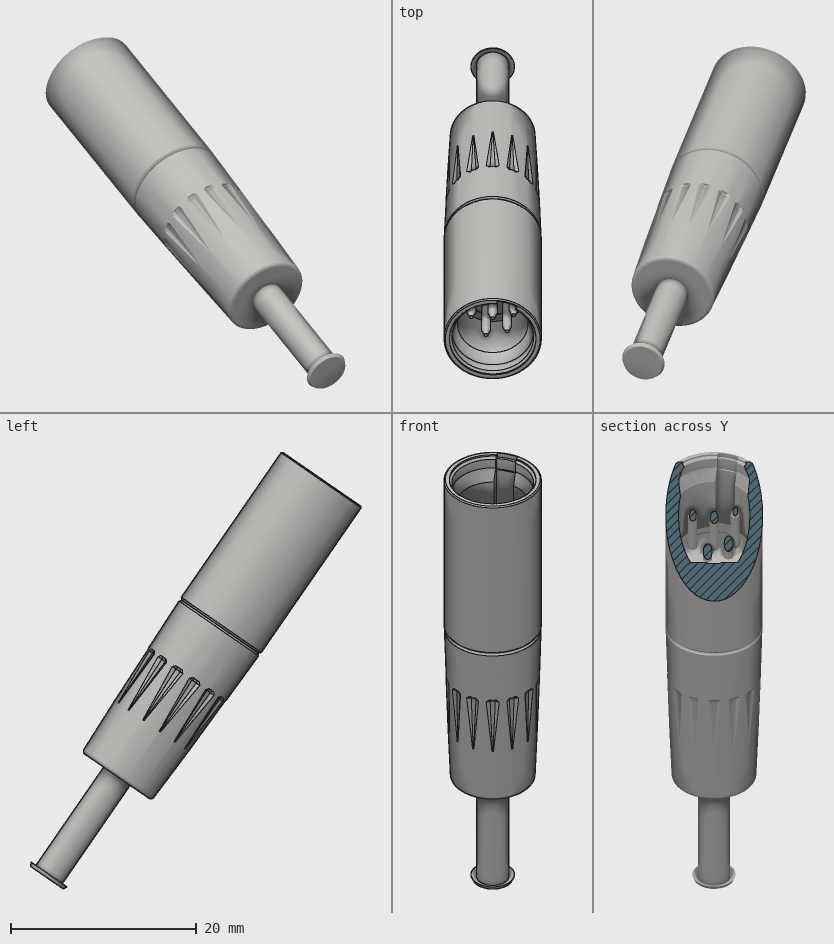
import cadquery as cq
import math

TILT_ANGLE = 34.6
TOTAL_LENGTH = 52.08
KEY_ANGLE = 71
CUT_MARGIN = 0.45

CABLE_RADIUS = 3.5 / 2
FLARE_BOTTOM_RADIUS = 2.15
FLARE_RIM_RADIUS = 2.35
FLARE_HEIGHT = 0.4
FLARE_DISH_DEPTH = 0.25

HANDLE_BOTTOM = 13.25
HANDLE_TOP = 32.8
HANDLE_BOTTOM_RADIUS = 4.55
HANDLE_MIDDLE_RADIUS = 4.95
HANDLE_TOP_RADIUS = 5.2
HANDLE_END_FILLET = 0.38

SHELL_RADIUS = 10.5 / 2
SHELL_EDGE_CHAMFER = 0.15
SEAM_CHAMFER = 0.25

MOUTH_RADIUS = 4.65
MOUTH_DEPTH = 0.2
ENTRY_RADIUS = 8.8 / 2
ENTRY_DEPTH = 0.4
CONE_START_DEPTH = 1.55
CONE_END_DEPTH = 3.0
BORE_RADIUS = 7.6 / 2
FLOOR_DEPTH = 8.9
FLOOR_RECESS_RADIUS = 2.95
FLOOR_RECESS_DEPTH = 0.1

KEYWAY_WIDTH = 2.25
KEYWAY_FLAT_DISTANCE = 4.5
KEYWAY_RELIEF_RADIUS = 4.7
KEYWAY_RELIEF_DEPTH = 1.9
KEYWAY_LEAD_RADIUS = 5.0
KEYWAY_LEAD_DEPTH = 0.5

PIN_RADIUS = 1.0 / 2
PIN_SHOULDER_DEPTH = 5.05
PIN_TIP_DEPTH = 4.0
PIN_TIP_RADIUS = 0.2
PIN_CIRCLE_RADIUS = 2.3
PIN_ANGLES = (10, -48, -108, 176)

FLUTE_COUNT = 14
FLUTE_START_ANGLE = 90
FLUTE_BOTTOM = 19.85
FLUTE_TOP = 26.65
FLUTE_WIDTH = 1.55
FLUTE_FLOOR_WIDTH = 0.55
FLUTE_DEPTH = 0.35
FLUTE_END_LENGTH = 0.3
FLUTE_END_SCALE = 0.6
FLUTE_POINT_SCALE = 0.1


def revolved(profile):
    """Turn a closed sketch on the XZ plane about the Z axis."""
    return profile.close().revolve(360, (0, 0, 0), (0, 1, 0))


def make_cable():
    """Cable and its dished flare, reaching into the handle."""
    return revolved(
        cq.Workplane("XZ")
        .lineTo(FLARE_BOTTOM_RADIUS, 0)
        .lineTo(FLARE_RIM_RADIUS, FLARE_HEIGHT)
        .lineTo(CABLE_RADIUS, FLARE_HEIGHT - FLARE_DISH_DEPTH)
        .lineTo(CABLE_RADIUS, HANDLE_BOTTOM + CUT_MARGIN)
        .lineTo(0, HANDLE_BOTTOM + CUT_MARGIN)
    )


def make_handle():
    """Slightly bulged, tapering grip."""
    handle = revolved(
        cq.Workplane("XZ")
        .moveTo(0, HANDLE_BOTTOM)
        .lineTo(HANDLE_BOTTOM_RADIUS, HANDLE_BOTTOM)
        .threePointArc(
            (HANDLE_MIDDLE_RADIUS, (HANDLE_BOTTOM + HANDLE_TOP) / 2),
            (HANDLE_TOP_RADIUS, HANDLE_TOP),
        )
        .lineTo(0, HANDLE_TOP)
    )
    handle = handle.faces("<Z").edges().fillet(HANDLE_END_FILLET)
    return handle.faces(">Z").edges().chamfer(SEAM_CHAMFER)


def make_shell():
    """Plain tube around the contacts, still solid."""
    shell = cq.Workplane("XY", origin=(0, 0, HANDLE_TOP)).circle(SHELL_RADIUS)
    shell = shell.extrude(TOTAL_LENGTH - HANDLE_TOP)
    shell = shell.faces("<Z").edges().chamfer(SEAM_CHAMFER)
    return shell.faces(">Z").edges().chamfer(SHELL_EDGE_CHAMFER)


def make_bore():
    """Stepped cavity with a cone leading down to the contact chamber."""
    rim = TOTAL_LENGTH
    return revolved(
        cq.Workplane("XZ")
        .moveTo(0, rim + CUT_MARGIN)
        .lineTo(MOUTH_RADIUS, rim + CUT_MARGIN)
        .lineTo(MOUTH_RADIUS, rim - MOUTH_DEPTH)
        .lineTo(ENTRY_RADIUS, rim - ENTRY_DEPTH)
        .lineTo(ENTRY_RADIUS, rim - CONE_START_DEPTH)
        .lineTo(BORE_RADIUS, rim - CONE_END_DEPTH)
        .lineTo(BORE_RADIUS, rim - FLOOR_DEPTH)
        .lineTo(FLOOR_RECESS_RADIUS, rim - FLOOR_DEPTH)
        .lineTo(FLOOR_RECESS_RADIUS, rim - FLOOR_DEPTH - FLOOR_RECESS_DEPTH)
        .lineTo(0, rim - FLOOR_DEPTH - FLOOR_RECESS_DEPTH)
    )


def make_keyway():
    """Flat-bottomed slot along the bore, with a deeper rounded mouth."""
    floor = TOTAL_LENGTH - FLOOR_DEPTH
    height = FLOOR_DEPTH + CUT_MARGIN

    def slot(depth):
        return cq.Workplane("XY", origin=(0, 0, floor)).box(
            depth, KEYWAY_WIDTH, height, centered=(False, True, False)
        )

    def rounded_end(radius, depth):
        return (
            cq.Workplane("XY", origin=(0, 0, TOTAL_LENGTH - depth))
            .circle(radius)
            .extrude(depth + CUT_MARGIN)
        )

    mouth = rounded_end(KEYWAY_RELIEF_RADIUS, KEYWAY_RELIEF_DEPTH).union(
        rounded_end(KEYWAY_LEAD_RADIUS, KEYWAY_LEAD_DEPTH)
    )
    keyway = slot(KEYWAY_FLAT_DISTANCE).union(slot(SHELL_RADIUS).intersect(mouth))
    return keyway.rotate((0, 0, 0), (0, 0, 1), KEY_ANGLE)


def make_pin():
    """Round contact with a conical tip, rooted below the chamber floor."""
    root = TOTAL_LENGTH - FLOOR_DEPTH - CUT_MARGIN
    return revolved(
        cq.Workplane("XZ")
        .moveTo(0, root)
        .lineTo(PIN_RADIUS, root)
        .lineTo(PIN_RADIUS, TOTAL_LENGTH - PIN_SHOULDER_DEPTH)
        .lineTo(PIN_TIP_RADIUS, TOTAL_LENGTH - PIN_TIP_DEPTH)
        .lineTo(0, TOTAL_LENGTH - PIN_TIP_DEPTH)
    )


def handle_radius(height):
    """Radius of the handle's bulged side at a height."""
    half_length = (HANDLE_TOP - HANDLE_BOTTOM) / 2
    position = (height - HANDLE_BOTTOM) / half_length - 1
    mean = (HANDLE_TOP_RADIUS + HANDLE_BOTTOM_RADIUS) / 2
    bulge = (HANDLE_MIDDLE_RADIUS - mean) * (1 - position**2)
    return mean + (HANDLE_TOP_RADIUS - HANDLE_BOTTOM_RADIUS) / 2 * position + bulge


def flute_section(height, scale):
    """Closed trapezoid across a flute, widening outward past the handle surface."""
    surface = handle_radius(height)
    floor = surface - FLUTE_DEPTH * scale
    outer = surface + FLUTE_DEPTH * scale
    half_floor = FLUTE_FLOOR_WIDTH * scale / 2
    half_outer = FLUTE_WIDTH * scale - half_floor
    corners = [
        cq.Vector(floor, -half_floor, height),
        cq.Vector(outer, -half_outer, height),
        cq.Vector(outer, half_outer, height),
        cq.Vector(floor, half_floor, height),
    ]
    return cq.Wire.makePolygon(corners, close=True)


def make_flute():
    """Pointed groove that is widest and deepest near its upper end."""
    sections = [
        flute_section(FLUTE_BOTTOM, FLUTE_POINT_SCALE),
        flute_section(FLUTE_TOP - FLUTE_END_LENGTH, 1),
        flute_section(FLUTE_TOP, FLUTE_END_SCALE),
    ]
    return cq.Workplane(cq.Solid.makeLoft(sections, True))


plug = make_cable().union(make_handle()).union(make_shell())
plug = plug.cut(make_bore()).cut(make_keyway())

pin = make_pin()
plug = plug.union(pin)
for angle in PIN_ANGLES:
    x = PIN_CIRCLE_RADIUS * math.cos(math.radians(angle))
    y = PIN_CIRCLE_RADIUS * math.sin(math.radians(angle))
    plug = plug.union(pin.translate((x, y, 0)))

flute = make_flute()
for index in range(FLUTE_COUNT):
    angle = FLUTE_START_ANGLE + index * 360 / FLUTE_COUNT
    plug = plug.cut(flute.rotate((0, 0, 0), (0, 0, 1), angle))

result = plug.rotate((0, 0, 0), (1, 0, 0), TILT_ANGLE)